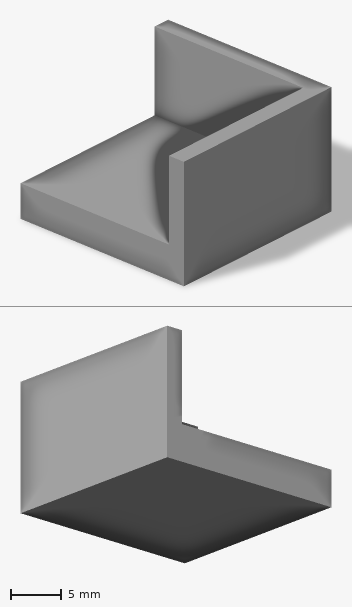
import cadquery as cq

side = 22.0
height = 14.0
wall = 2.0
floor = 4.0

block = cq.Workplane("XY").box(side, side, height, centered=(True, True, False))

open_side = side - wall
open_corner = (
    cq.Workplane("XY")
    .box(open_side, open_side, height - floor, centered=False)
    .translate((-side / 2, -side / 2, floor))
)

result = block.cut(open_corner)